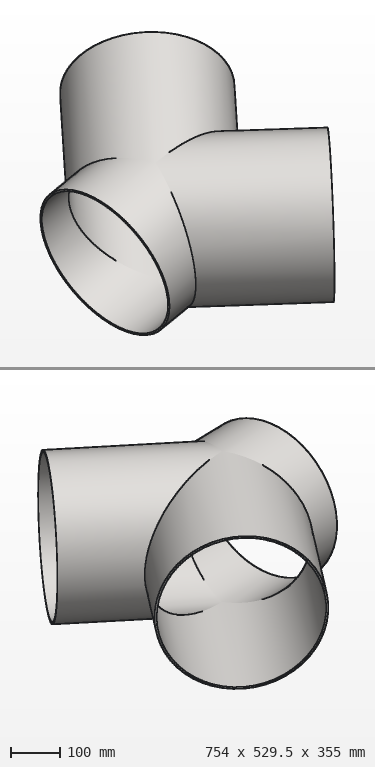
import cadquery as cq
import math

overall_width = 754.0
overall_depth = 529.5
outer_diameter = 355.0
inner_diameter = 346.0
branch_angle = math.radians(45)

branch_length = (
    overall_width / 2 - outer_diameter / 2 * math.cos(branch_angle)
) / math.sin(branch_angle)
back_y = branch_length * math.cos(branch_angle) + outer_diameter / 2 * math.sin(branch_angle)
inlet_length = overall_depth - back_y


def mitred_elbow(diameter, side):
    """Solid round bar from the inlet mouth to one branch mouth, mitred at the junction."""
    branch_end = (
        side * branch_length * math.sin(branch_angle),
        branch_length * math.cos(branch_angle),
    )
    path = cq.Workplane("XY").polyline([(0, -inlet_length), (0, 0), branch_end])
    mouth = cq.Workplane("XZ", origin=(0, -inlet_length, 0)).circle(diameter / 2)
    return mouth.sweep(path, transition="right")


def y_body(diameter):
    """Both elbows joined along their shared inlet."""
    return mitred_elbow(diameter, -1).union(mitred_elbow(diameter, 1))


result = y_body(outer_diameter).cut(y_body(inner_diameter))